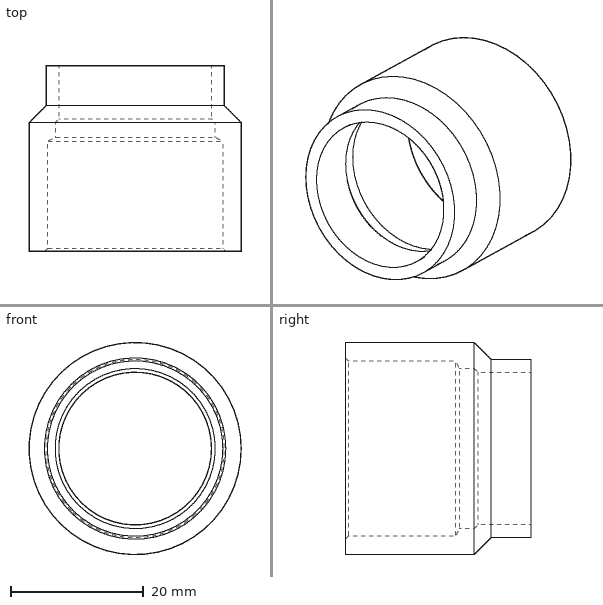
import cadquery as cq
import math

total_length = 28.0
body_radius = 16.0
neck_radius = 13.45
neck_length = 6.0
shoulder_length = body_radius - neck_radius

mouth_radius = 13.65
socket_radius = 13.2
mouth_chamfer = mouth_radius - socket_radius
socket_depth = 16.6

seat_radius = 12.05
seat_angle = 27.0
seat_length = (socket_radius - seat_radius) * math.tan(math.radians(seat_angle))
bore_radius = 11.5
bore_step_length = seat_radius - bore_radius

mouth_y = -total_length / 2
neck_end_y = total_length / 2
neck_start_y = neck_end_y - neck_length
body_end_y = neck_start_y - shoulder_length
socket_floor_y = mouth_y + socket_depth

section = (
    cq.Workplane("XY")
    .moveTo(mouth_radius, mouth_y)
    .lineTo(body_radius, mouth_y)
    .lineTo(body_radius, body_end_y)
    .lineTo(neck_radius, neck_start_y)
    .lineTo(neck_radius, neck_end_y)
    .lineTo(bore_radius, neck_end_y)
    .lineTo(bore_radius, body_end_y + bore_step_length)
    .lineTo(seat_radius, body_end_y)
    .lineTo(seat_radius, socket_floor_y + seat_length)
    .lineTo(socket_radius, socket_floor_y)
    .lineTo(socket_radius, mouth_y + mouth_chamfer)
    .close()
)

result = section.revolve(360, (0, 0, 0), (0, 1, 0))